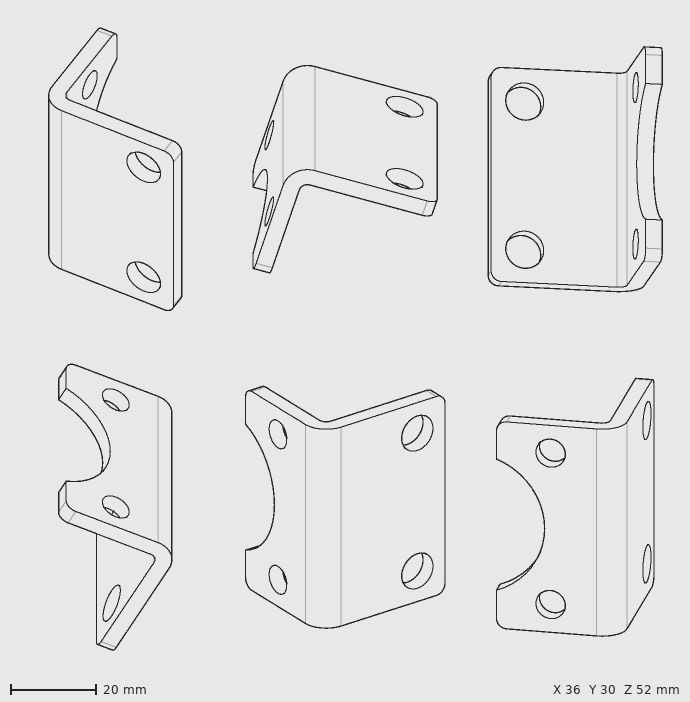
import cadquery as cq

width = 36.0
depth = 30.0
height = 52.0
thickness = 4.0
bend_inner_radius = 2.0
bend_outer_radius = bend_inner_radius + thickness
corner_radius = 2.5

front_hole_diameter = 9.0
front_hole_edge_distance = 8.0
front_hole_spacing = 36.0

side_hole_diameter = 7.0
side_hole_edge_distance = 13.0
side_hole_spacing = 38.0

cutout_radius = 17.5
cutout_center_overhang = 6.0

mid_height = height / 2


def bent_sheet():
    """L-shaped sheet with a rounded bend along the Z axis."""
    sheet = (
        cq.Workplane("XY")
        .polyline([
            (0, 0),
            (width, 0),
            (width, thickness),
            (thickness, thickness),
            (thickness, depth),
            (0, depth),
        ])
        .close()
        .extrude(height)
    )
    sheet = sheet.edges(cq.NearestToPointSelector((0, 0, mid_height))).fillet(bend_outer_radius)
    inner_bend = cq.NearestToPointSelector((thickness, thickness, mid_height))
    return sheet.edges(inner_bend).fillet(bend_inner_radius)


def front_cylinder(x, z, diameter):
    """Cylinder along Y that passes through the front leg."""
    return cq.Workplane("XZ").center(x, z).circle(diameter / 2).extrude(-thickness)


def side_cylinder(y, z, diameter):
    """Cylinder along X that passes through the side leg."""
    return cq.Workplane("YZ").center(y, z).circle(diameter / 2).extrude(thickness)


result = bent_sheet()

result = result.faces(">X").edges("|Y").fillet(corner_radius)
result = result.faces(">Y").edges("|X").fillet(corner_radius)

for side in (-1, 1):
    front_z = mid_height + side * front_hole_spacing / 2
    side_z = mid_height + side * side_hole_spacing / 2
    result = result.cut(front_cylinder(width - front_hole_edge_distance, front_z, front_hole_diameter))
    result = result.cut(side_cylinder(depth - side_hole_edge_distance, side_z, side_hole_diameter))

result = result.cut(side_cylinder(depth + cutout_center_overhang, mid_height, 2 * cutout_radius))